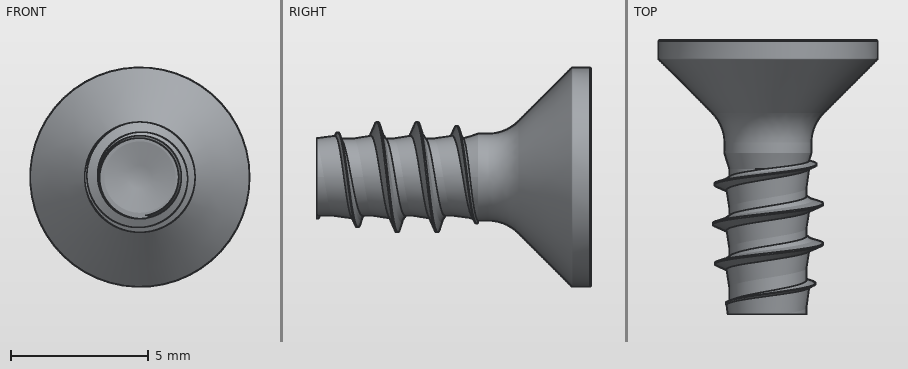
import cadquery as cq
import math

LENGTH = 10.0
FUSE_TOLERANCE = 1e-4

HEAD_RADIUS = 4.0
RIM_DEPTH = 0.7
RIM_CHAMFER = 0.05
RIM_FILLET = 0.05
NECK_RADIUS = 1.59
NECK_FILLET = 1.54
NECK_END = 4.12

CORE_RADIUS = 1.41
CORE_START = 4.7
TIP_RECESS_RADIUS = 1.3
TIP_RECESS_DEPTH = 0.25

PITCH = 1.45
CREST_DEPTH_AT_ZERO = 4.53
CREST_RADIUS = 2.01
CREST_HALF_WIDTH = 0.03
SHELF_RADIUS = 1.51
SHELF_START = 0.24
SHELF_END = 1.0
SHELF_END_RADIUS = 1.39
FLANK_KINK_RADIUS = 1.63
FLANK_KINK_OFFSET = 0.14
FLANK_START_OFFSET = 0.36
ROOT_RADIUS = 1.3
FIRST_QUARTER = -2
LAST_QUARTER = 16
STEPS_PER_QUARTER = 5
RUN_IN_RADIUS = 1.78
RUN_IN_RISE = 0.087
RUN_OUT_QUARTER = 10
RUN_OUT_RADIUS = 1.93
RUN_OUT_FALL = 0.097
LOWEST_CREST = 1.52


def make_body():
    """Revolved head, neck and plain core."""
    diagonal = math.sqrt(0.5)
    cone_end_radius = NECK_RADIUS + NECK_FILLET * (1 - diagonal)
    cone_end = RIM_DEPTH + HEAD_RADIUS - cone_end_radius
    neck_start = cone_end + NECK_FILLET * diagonal
    half_angle = math.pi / 8
    arc_middle = (
        NECK_RADIUS + NECK_FILLET * (1 - math.cos(half_angle)),
        -(neck_start - NECK_FILLET * math.sin(half_angle)),
    )
    rim_setback = RIM_FILLET * math.tan(half_angle)
    rim_middle = (
        HEAD_RADIUS - RIM_FILLET * (1 - math.cos(half_angle)),
        -(RIM_DEPTH - rim_setback + RIM_FILLET * math.sin(half_angle)),
    )
    rim_end = (
        HEAD_RADIUS - rim_setback * diagonal,
        -(RIM_DEPTH + rim_setback * diagonal),
    )
    return (
        cq.Workplane("XY")
        .lineTo(HEAD_RADIUS - RIM_CHAMFER, 0)
        .lineTo(HEAD_RADIUS, -RIM_CHAMFER)
        .lineTo(HEAD_RADIUS, -(RIM_DEPTH - rim_setback))
        .threePointArc(rim_middle, rim_end)
        .lineTo(cone_end_radius, -cone_end)
        .threePointArc(arc_middle, (NECK_RADIUS, -neck_start))
        .lineTo(NECK_RADIUS, -NECK_END)
        .lineTo(CORE_RADIUS, -CORE_START)
        .lineTo(CORE_RADIUS, -LENGTH)
        .lineTo(0, -LENGTH)
        .close()
        .revolve(360, (0, 0, 0), (0, 1, 0))
    )


def crest_radius(quarter):
    """Crest radius, rising at the run-in and falling at the run-out."""
    run_in = RUN_IN_RADIUS + RUN_IN_RISE * quarter
    run_out = RUN_OUT_RADIUS - RUN_OUT_FALL * (quarter - RUN_OUT_QUARTER)
    return max(LOWEST_CREST, min(CREST_RADIUS, run_in, run_out))


def thread_section(quarter):
    """Section corners as (offset toward the tip, radius); the ridge shrinks with its crest."""
    crest = crest_radius(quarter)
    size = (crest - CORE_RADIUS) / (CREST_RADIUS - CORE_RADIUS)
    kink = CORE_RADIUS + size * (FLANK_KINK_RADIUS - CORE_RADIUS)
    return [
        (-FLANK_START_OFFSET * size, ROOT_RADIUS),
        (-FLANK_KINK_OFFSET * size, kink),
        (-CREST_HALF_WIDTH * size, crest),
        (CREST_HALF_WIDTH * size, crest),
        (SHELF_START * size, SHELF_RADIUS),
        (SHELF_END, SHELF_END_RADIUS),
        (SHELF_END, ROOT_RADIUS),
    ]


def thread_point(quarter, corner):
    """Place one section corner in space at the given angle."""
    offset, radius = thread_section(quarter)[corner]
    angle = quarter * math.pi / 2
    depth = CREST_DEPTH_AT_ZERO + PITCH * quarter / 4 + offset
    return cq.Vector(radius * math.cos(angle), -depth, radius * math.sin(angle))


def make_thread():
    """Helical ridge bounded by ruled faces, trimmed to the threaded length."""
    step_count = (LAST_QUARTER - FIRST_QUARTER) * STEPS_PER_QUARTER
    quarters = [FIRST_QUARTER + i / STEPS_PER_QUARTER for i in range(step_count + 1)]
    corners = range(len(thread_section(0)))
    edges = []
    for corner in corners:
        points = [thread_point(q, corner) for q in quarters]
        edges.append(cq.Edge.makeSpline(points, parameters=quarters))
    faces = [cq.Face.makeRuledSurface(edges[c - 1], edges[c]) for c in corners]
    for quarter in (FIRST_QUARTER, LAST_QUARTER):
        outline = [thread_point(quarter, c) for c in corners]
        faces.append(cq.Face.makeFromWires(cq.Wire.makePolygon(outline, close=True)))
    ridge = cq.Solid.makeSolid(cq.Shell.makeShell(faces))
    ridge = cq.Workplane(obj=ridge.fix())
    trim = (
        cq.Workplane("XZ", origin=(0, -NECK_END, 0))
        .circle(HEAD_RADIUS)
        .extrude(LENGTH - NECK_END)
    )
    return ridge.intersect(trim)


def make_tip_recess():
    """Shallow cone removed from the tip face."""
    return (
        cq.Workplane("XY")
        .moveTo(0, -LENGTH)
        .lineTo(TIP_RECESS_RADIUS, -LENGTH)
        .lineTo(0, -(LENGTH - TIP_RECESS_DEPTH))
        .close()
        .revolve(360, (0, 0, 0), (0, 1, 0))
    )


threaded_body = make_body().union(make_thread().solids(), tol=FUSE_TOLERANCE)
result = threaded_body.cut(make_tip_recess()).solids()